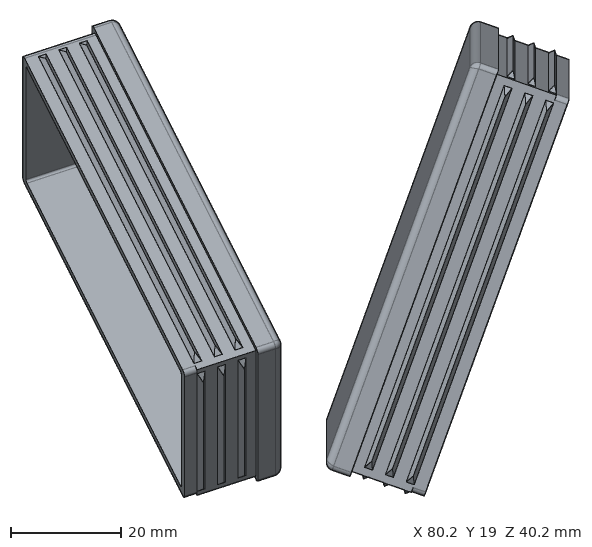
import cadquery as cq

cap_length = 80.0
cap_height = 40.0
cap_depth = 5.0
body_depth = 14.0
cap_overhang = 1.0
wall = 1.6
floor = 3.0

corner_radius = 1.0
cap_edge_radius = 1.5
cavity_corner_radius = 0.5

rib_count = 3
rib_pitch = 4.0
rib_width = 1.5
rib_rise = 1.1
rib_end_run = 1.7
rib_side_gap = 1.5
rib_end_gap = 1.2
first_rib_offset = 3.2

body_length = cap_length - 2 * cap_overhang
body_height = cap_height - 2 * cap_overhang
total_depth = cap_depth + body_depth
lead_in_depth = first_rib_offset - rib_width / 2


def block(length, height, start, depth):
    """Box centred on the Y axis, running from start toward +Y."""
    return cq.Workplane("XY").box(length, depth, height).translate((0, start + depth / 2, 0))


def make_cap():
    cap = block(cap_length, cap_height, body_depth, cap_depth)
    return cap.edges("|Y").fillet(corner_radius).faces(">Y").edges().fillet(cap_edge_radius)


def make_body():
    """Body with rounded corners on the lead-in; only the -X +Z corner stays round up to the cap."""
    lead_in = block(body_length, body_height, 0, lead_in_depth)
    lead_in = lead_in.edges("|Y").fillet(corner_radius)
    shank = block(body_length, body_height, lead_in_depth, body_depth - lead_in_depth)
    shank = shank.edges("|Y and <X and >Z").fillet(corner_radius)
    return lead_in.union(shank)


def make_rib(length):
    """Triangular ridge along X rising toward +Z from Z = 0, with both ends sloped to the crest."""
    half = rib_width / 2
    ridge = (
        cq.Workplane("YZ")
        .polyline([(-half, 0), (half, 0), (0, rib_rise)])
        .close()
        .extrude(length / 2, both=True)
    )
    envelope = (
        cq.Workplane("XZ")
        .polyline([
            (-length / 2, 0),
            (length / 2, 0),
            (length / 2 - rib_end_run, rib_rise),
            (-length / 2 + rib_end_run, rib_rise),
        ])
        .close()
        .extrude(half, both=True)
    )
    return ridge.intersect(envelope)


def add_ribs(part):
    long_rib = make_rib(body_length - 2 * rib_side_gap).translate((0, 0, body_height / 2))
    short_rib = make_rib(body_height - 2 * rib_end_gap).translate((0, 0, body_length / 2))
    origin = (0, 0, 0)
    y_axis = (0, 1, 0)
    ring = [
        long_rib,
        long_rib.rotate(origin, y_axis, 180),
        short_rib.rotate(origin, y_axis, 90),
        short_rib.rotate(origin, y_axis, -90),
    ]
    for index in range(rib_count):
        for rib in ring:
            part = part.union(rib.translate((0, first_rib_offset + index * rib_pitch, 0)))
    return part


def make_cavity():
    cavity = block(body_length - 2 * wall, body_height - 2 * wall, 0, total_depth - floor)
    return cavity.edges("|Y").fillet(cavity_corner_radius)


result = add_ribs(make_cap().union(make_body())).cut(make_cavity())